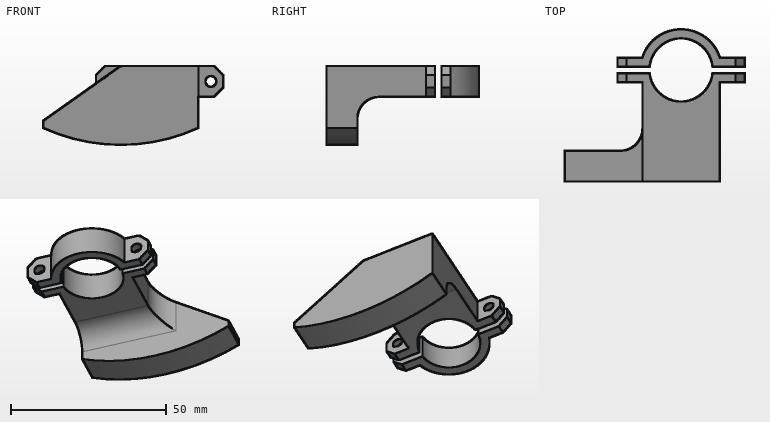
import cadquery as cq


bore_radius = 10.15
wall = 3.0
ring_radius = bore_radius + wall
clamp_height = 10.0
split_gap = 2.0

ear_thickness = 3.0
ear_reach = 20.55
ear_chamfer = 3.0
bolt_hole_diameter = 3.4

arm_half_width = 12.5
flare_radius = 7.0

blade_length = 50.0
blade_thickness = 10.0
blade_front_y = -36.0
blade_side_height = 20.0
blade_tip_slope_drop = 17.65
blade_arc_sag = 5.47

half_gap = split_gap / 2
bolt_offset = (arm_half_width + ear_reach) / 2
blade_back_y = blade_front_y + blade_thickness
blade_right_x = arm_half_width
blade_left_x = blade_right_x - blade_length
blade_bottom_z = -(blade_side_height + blade_arc_sag)


def cylinder(radius):
    """Cylinder on the bore axis, as high as the clamp."""
    return cq.Workplane("XY").circle(radius).extrude(-clamp_height)


def make_ears(side):
    """Bar with chamfered ends and two bolt holes; side is +1 behind the split, -1 in front of it."""
    bar = (
        cq.Workplane("XY")
        .box(2 * ear_reach, ear_thickness, clamp_height)
        .edges("|Y")
        .chamfer(ear_chamfer)
        .faces("<Y")
        .workplane(centerOption="CenterOfBoundBox")
        .pushPoints([(-bolt_offset, 0), (bolt_offset, 0)])
        .hole(bolt_hole_diameter)
    )
    return bar.translate((0, side * (half_gap + ear_thickness / 2), -clamp_height / 2))


def make_blade_prism(back_y):
    """Blade outline, sloped on top and arched below, extruded from the front face back to back_y."""
    outline = (
        cq.Workplane("XZ", origin=(0, blade_front_y, 0))
        .moveTo(-arm_half_width, 0)
        .lineTo(blade_right_x, 0)
        .lineTo(blade_right_x, -blade_side_height)
        .threePointArc(
            ((blade_left_x + blade_right_x) / 2, blade_bottom_z),
            (blade_left_x, -blade_side_height),
        )
        .lineTo(blade_left_x, -blade_tip_slope_drop)
        .close()
    )
    return outline.extrude(-(back_y - blade_front_y))


def make_arm():
    """Arm that flares into the blade on its left side and underneath, mitred where the flares meet."""
    flare_start_y = blade_back_y + flare_radius
    side_flare = (
        cq.Workplane("XY")
        .moveTo(arm_half_width, blade_back_y)
        .lineTo(arm_half_width, -half_gap)
        .lineTo(-arm_half_width, -half_gap)
        .lineTo(-arm_half_width, flare_start_y)
        .radiusArc((-arm_half_width - flare_radius, blade_back_y), flare_radius)
        .close()
        .extrude(blade_bottom_z)
    )
    under_flare = (
        cq.Workplane("YZ", origin=(blade_left_x, 0, 0))
        .moveTo(blade_back_y, 0)
        .lineTo(-half_gap, 0)
        .lineTo(-half_gap, -clamp_height)
        .lineTo(flare_start_y, -clamp_height)
        .radiusArc((blade_back_y, -clamp_height - flare_radius), -flare_radius)
        .close()
        .extrude(blade_length)
    )
    return side_flare.intersect(under_flare).intersect(make_blade_prism(-half_gap))


def make_bracket():
    """Front half of the clamp with its arm and blade."""
    body = make_blade_prism(blade_back_y).union(make_arm()).union(make_ears(-1))
    return body.cut(cylinder(bore_radius))


def make_cap():
    """Rear half of the clamp: a half ring with an ear on each side."""
    rear_space = (
        cq.Workplane("XY")
        .rect(2 * ring_radius, ring_radius - half_gap)
        .extrude(-clamp_height)
        .translate((0, (ring_radius + half_gap) / 2, 0))
    )
    half_ring = cylinder(ring_radius).intersect(rear_space)
    return half_ring.union(make_ears(1)).cut(cylinder(bore_radius))


bracket = make_bracket()
cap = make_cap()

result = cq.Compound.makeCompound([bracket.val(), cap.val()])